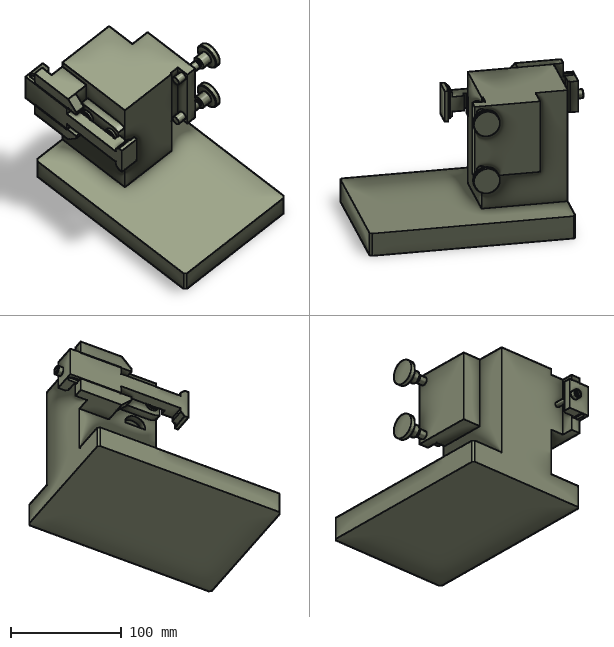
import cadquery as cq

BASE_LENGTH = 190.0
BASE_DEPTH = 128.0
BASE_HEIGHT = 22.0
BASE_CORNER_CHAMFER = 2.0

COLUMN_LENGTH = 79.5
COLUMN_FRONT = 34.0
COLUMN_BACK = 94.0
COLUMN_TOP = 131.5
HEAD_LEFT = 29.7
HEAD_RIGHT = 78.2
HEAD_BACK = 113.5
HEAD_BOTTOM = 62.0
HEAD_ARM_RIGHT = 90.2
HEAD_ARM_THICKNESS = 10.0

POCKET_X = 58.1
POCKET_Z = 73.0
POCKET_RADIUS = 10.3
POCKET_DEPTH = 6.5
POCKET_LIP_CHAMFER = 0.9

THUMB_X = 84.3
THUMB_TOP_Z = 125.0
THUMB_SPACING = 56.2
THUMB_END = 139.0
KNOB_DIAMETER = 24.0
KNOB_THICKNESS = 5.0
KNOB_CHAMFER = 0.7
COLLAR_DIAMETER = 12.0
COLLAR_LENGTH = 10.0
NECK_DIAMETER = 6.8
NECK_LENGTH = 1.3
SCREW_DIAMETER = 8.0
SCREW_TIP = 94.0
TIP_HEIGHT = 0.7

CLAMP_Z = 97.0

GUIDE_HEIGHT = 57.2
WEB_RIGHT = 30.5
WEB_FRONT = 20.3
LIP_LEFT = -12.0
LIP_FRONT = 10.7
LIP_CHAMFER = 10.3

CLAMP_HEIGHT = 30.2
CLAMP_LEFT = -23.2
CLAMP_FRONT = 10.0
SLIDE_RIGHT = 29.5
TAIL_RIGHT = -13.5
TAIL_BACK = 32.3
TAIL_CHAMFER = 2.2
ARM_HEIGHT = 14.6
ARM_PAD_LEFT = 80.6
ARM_PAD_BACK = 25.8
HOOK_LEFT = 91.8
HOOK_RIGHT = 99.6
HOOK_CHAMFER = 4.0
HOOK_LIP_LEFT = 96.1
HOOK_LIP_BACK = 29.3
RELIEF_WIDTH = 2.2
RELIEF_DEPTH = 0.9
GROOVE_LEFT = -21.8
GROOVE_WIDTH = 5.0
GROOVE_Y = 15.5
GROOVE_DEPTH = 3.3

ADJUST_Y = 26.9
ADJUST_LEFT = -28.5
ADJUST_HEAD_DIAMETER = 8.5
ADJUST_HEAD_CHAMFER = 0.7
ADJUST_SHANK_DIAMETER = 5.0
SOCKET_DIAMETER = 5.0
SOCKET_DEPTH = 2.6

JAW_LEFT = 32.1
JAW_RIGHT = 79.0
JAW_FRONT = 26.2
JAW_HEIGHT = 22.7
JAW_CURVE_START = 70.8
JAW_CURVE_DROP = 2.2
BOLT_X = (40.6, 70.8)
BOLT_DIAMETER = 13.0
BOLT_HEAD_HEIGHT = 3.3
BOLT_CHAMFER = 0.7

EMBED = 2.2


def box(x0, x1, y0, y1, z0, z1):
    return cq.Workplane("XY").box(x1 - x0, y1 - y0, z1 - z0, centered=False).translate((x0, y0, z0))


def clamp_bar(x0, x1, y0, y1, height):
    """Box centred in height on the clamp centreline."""
    return box(x0, x1, y0, y1, CLAMP_Z - height / 2, CLAMP_Z + height / 2)


def cylinder_y(x, z, y0, y1, diameter):
    return cq.Workplane("XZ", origin=(x, y0, z)).circle(diameter / 2).extrude(y0 - y1)


def cylinder_x(x0, x1, diameter):
    return cq.Workplane("YZ", origin=(x0, ADJUST_Y, CLAMP_Z)).circle(diameter / 2).extrude(x1 - x0)


def make_base():
    plate = box(0, BASE_LENGTH, 0, BASE_DEPTH, 0, BASE_HEIGHT)
    return plate.edges("|Z").chamfer(BASE_CORNER_CHAMFER)


def make_pocket():
    half_disc = (
        cq.Workplane("XZ", origin=(POCKET_X, COLUMN_FRONT, POCKET_Z))
        .moveTo(-POCKET_RADIUS, 0)
        .threePointArc((0, POCKET_RADIUS), (POCKET_RADIUS, 0))
        .close()
        .extrude(-POCKET_DEPTH)
    )
    flare = (
        cq.Workplane("YZ", origin=(POCKET_X - POCKET_RADIUS, COLUMN_FRONT, POCKET_Z))
        .polyline([(0, 0), (0, -POCKET_LIP_CHAMFER), (POCKET_LIP_CHAMFER, 0)])
        .close()
        .extrude(2 * POCKET_RADIUS)
    )
    return half_disc.union(flare)


def make_column():
    column = box(0, COLUMN_LENGTH, COLUMN_FRONT, COLUMN_BACK, BASE_HEIGHT, COLUMN_TOP)
    head = box(HEAD_LEFT, HEAD_RIGHT, COLUMN_BACK, HEAD_BACK, HEAD_BOTTOM, COLUMN_TOP)
    arm_front = HEAD_BACK - HEAD_ARM_THICKNESS
    head_arm = box(HEAD_LEFT, HEAD_ARM_RIGHT, arm_front, HEAD_BACK, HEAD_BOTTOM, COLUMN_TOP)
    return column.union(head).union(head_arm).cut(make_pocket())


def make_thumbscrew(z):
    """Turned about a line parallel to Y: knob, collar, neck, taper and round-ended screw."""
    knob_radius = KNOB_DIAMETER / 2
    collar_radius = COLLAR_DIAMETER / 2
    neck_radius = NECK_DIAMETER / 2
    screw_radius = SCREW_DIAMETER / 2
    knob_front = THUMB_END - KNOB_THICKNESS
    collar_front = knob_front - COLLAR_LENGTH
    neck_front = collar_front - NECK_LENGTH
    taper_front = neck_front - NECK_LENGTH
    tip_corner = SCREW_TIP + TIP_HEIGHT
    dome_mid = (screw_radius / 2, SCREW_TIP + TIP_HEIGHT / 4)
    return (
        cq.Workplane("XY", origin=(THUMB_X, 0, z))
        .moveTo(0, SCREW_TIP)
        .threePointArc(dome_mid, (screw_radius, tip_corner))
        .lineTo(screw_radius, taper_front)
        .lineTo(neck_radius, neck_front)
        .lineTo(neck_radius, collar_front)
        .lineTo(collar_radius, collar_front)
        .lineTo(collar_radius, knob_front)
        .lineTo(knob_radius - KNOB_CHAMFER, knob_front)
        .lineTo(knob_radius, knob_front + KNOB_CHAMFER)
        .lineTo(knob_radius, THUMB_END)
        .lineTo(0, THUMB_END)
        .close()
        .revolve(360, (0, 0, 0), (0, 1, 0))
    )


def make_guide():
    lip_right = WEB_RIGHT + LIP_CHAMFER
    web = clamp_bar(0, WEB_RIGHT, WEB_FRONT, COLUMN_FRONT, GUIDE_HEIGHT)
    lips = clamp_bar(LIP_LEFT, lip_right, LIP_FRONT, WEB_FRONT, GUIDE_HEIGHT)
    lips = lips.edges("|Y and >X").chamfer(LIP_CHAMFER)
    slot = clamp_bar(LIP_LEFT, lip_right, LIP_FRONT, WEB_FRONT, CLAMP_HEIGHT)
    return web.union(lips.cut(slot))


def make_groove(floor_z):
    """Groove with a round left end, open at the right end of the slide."""
    radius = GROOVE_WIDTH / 2
    center_x = GROOVE_LEFT + radius
    return (
        cq.Workplane("XY", origin=(0, GROOVE_Y, floor_z))
        .moveTo(SLIDE_RIGHT, radius)
        .lineTo(center_x, radius)
        .threePointArc((GROOVE_LEFT, 0), (center_x, -radius))
        .lineTo(SLIDE_RIGHT, -radius)
        .close()
        .extrude(GROOVE_DEPTH)
    )


def make_hook():
    """Chamfered head at the arm's end, with a rear lip and a shallow relief along the lip's root."""
    head = clamp_bar(HOOK_LEFT, HOOK_RIGHT, CLAMP_FRONT, ARM_PAD_BACK, CLAMP_HEIGHT)
    head = head.edges("|Y and <X").chamfer(HOOK_CHAMFER)
    lip = clamp_bar(HOOK_LIP_LEFT, HOOK_RIGHT, CLAMP_FRONT, HOOK_LIP_BACK, CLAMP_HEIGHT)
    relief_left = HOOK_LIP_LEFT - RELIEF_WIDTH
    relief_floor = ARM_PAD_BACK - RELIEF_DEPTH
    relief = (
        cq.Workplane("XY", origin=(0, 0, CLAMP_Z))
        .moveTo(relief_left, ARM_PAD_BACK)
        .lineTo(relief_left + RELIEF_DEPTH, relief_floor)
        .lineTo(HOOK_LIP_LEFT, relief_floor)
        .lineTo(HOOK_LIP_LEFT, ARM_PAD_BACK)
        .close()
        .extrude(CLAMP_HEIGHT / 2, both=True)
    )
    return head.union(lip).cut(relief)


def make_clamp():
    tail = clamp_bar(CLAMP_LEFT, TAIL_RIGHT, CLAMP_FRONT, TAIL_BACK, CLAMP_HEIGHT)
    tail = tail.edges("|Z and >X and >Y").chamfer(TAIL_CHAMFER)
    slide = clamp_bar(CLAMP_LEFT, SLIDE_RIGHT, CLAMP_FRONT, WEB_FRONT, CLAMP_HEIGHT)
    slide = slide.union(tail)
    slide = slide.cut(make_groove(CLAMP_Z + CLAMP_HEIGHT / 2 - GROOVE_DEPTH))
    slide = slide.cut(make_groove(CLAMP_Z - CLAMP_HEIGHT / 2))

    arm = clamp_bar(SLIDE_RIGHT, HOOK_LEFT, CLAMP_FRONT, WEB_FRONT, ARM_HEIGHT)
    pad = clamp_bar(ARM_PAD_LEFT, HOOK_LEFT, CLAMP_FRONT, ARM_PAD_BACK, ARM_HEIGHT)
    return slide.union(arm).union(pad).union(make_hook())


def make_adjusting_screw():
    head = cylinder_x(ADJUST_LEFT, CLAMP_LEFT, ADJUST_HEAD_DIAMETER)
    head = head.faces("<X").edges().chamfer(ADJUST_HEAD_CHAMFER)
    head = head.cut(cylinder_x(ADJUST_LEFT, ADJUST_LEFT + SOCKET_DEPTH, SOCKET_DIAMETER))
    shank = cylinder_x(CLAMP_LEFT, EMBED, ADJUST_SHANK_DIAMETER)
    return head.union(shank)


def make_jaw():
    half_height = JAW_HEIGHT / 2
    end_half_height = half_height - JAW_CURVE_DROP
    lower_half = (
        cq.Workplane("XZ", origin=(0, COLUMN_FRONT, CLAMP_Z))
        .moveTo(JAW_LEFT, 0)
        .lineTo(JAW_LEFT, -half_height)
        .lineTo(JAW_CURVE_START, -half_height)
        .tangentArcPoint((JAW_RIGHT, -end_half_height), relative=False)
        .lineTo(JAW_RIGHT, 0)
        .close()
        .extrude(COLUMN_FRONT - JAW_FRONT)
    )
    upper_half = lower_half.mirror("XY", (0, 0, CLAMP_Z))
    plate = lower_half.union(upper_half)
    for x in BOLT_X:
        bolt = cylinder_y(x, CLAMP_Z, JAW_FRONT - BOLT_HEAD_HEIGHT, JAW_FRONT + EMBED, BOLT_DIAMETER)
        plate = plate.union(bolt.faces("<Y").edges().chamfer(BOLT_CHAMFER))
    return plate


result = make_base().union(make_column()).union(make_guide()).union(make_clamp())
result = result.union(make_adjusting_screw()).union(make_jaw())
for thumb_z in (THUMB_TOP_Z, THUMB_TOP_Z - THUMB_SPACING):
    result = result.union(make_thumbscrew(thumb_z))